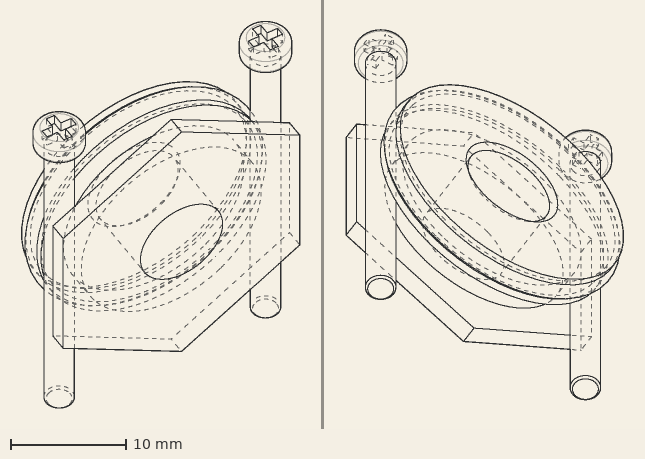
import cadquery as cq

total_length = 8.0
hex_thickness = 1.75
hex_across_flats = 24.0
flange_radius = 11.42
flange_length = 3.3
neck_radius = 9.13
hex_start = total_length - hex_thickness

bead_section_radius = 0.92
bead_outer_radius = 11.9
bead_center_x = flange_length / 2
bead_center_radius = bead_outer_radius - bead_section_radius

bore_radius = 4.17
bore_chamfer = 0.5

screw_length = 34.2
screw_top_z = 17.17
shank_radius = 1.35
tip_chamfer = 0.2
head_radius = 2.3
head_height = 2.22
head_top_fillet = 0.6
head_bottom_fillet = 0.35
recess_span = 2.95
recess_width = 0.82
recess_depth = 1.03
screw_x = (flange_length + hex_start) / 2
screw_y = neck_radius + shank_radius


def make_round_body():
    """Flange with its bead, and the neck, revolved about the X axis."""
    profile = (
        cq.Workplane("XY")
        .moveTo(0, 0)
        .lineTo(0, flange_radius)
        .lineTo(bead_center_x - bead_section_radius, flange_radius)
        .lineTo(bead_center_x - bead_section_radius, bead_center_radius)
        .threePointArc(
            (bead_center_x, bead_outer_radius),
            (bead_center_x + bead_section_radius, bead_center_radius),
        )
        .lineTo(bead_center_x + bead_section_radius, flange_radius)
        .lineTo(flange_length, flange_radius)
        .lineTo(flange_length, neck_radius)
        .lineTo(hex_start, neck_radius)
        .lineTo(hex_start, 0)
        .close()
    )
    return profile.revolve(360, (0, 0, 0), (1, 0, 0))


def make_hex_plate():
    """Hexagonal plate with two corners on the vertical center line."""
    return (
        cq.Workplane("YZ")
        .workplane(offset=hex_start)
        .polygon(6, hex_across_flats, circumscribed=True)
        .extrude(hex_thickness)
    )


def make_plug():
    """Round body and hexagonal plate, bored through."""
    bore = cq.Workplane("YZ").circle(bore_radius).extrude(total_length)
    mouth = cq.Solid.makeCone(
        bore_radius + bore_chamfer,
        bore_radius,
        bore_chamfer,
        cq.Vector(0, 0, 0),
        cq.Vector(1, 0, 0),
    )
    return make_round_body().union(make_hex_plate()).cut(bore).cut(mouth)


def make_screw(center_y):
    """Cross-recessed cylinder-head screw, head upwards."""
    head = (
        cq.Workplane("XY")
        .circle(head_radius)
        .extrude(-head_height)
        .faces(">Z").edges().fillet(head_top_fillet)
        .faces("<Z").edges().fillet(head_bottom_fillet)
    )
    shank = (
        cq.Workplane("XY")
        .workplane(offset=-screw_length)
        .circle(shank_radius)
        .extrude(screw_length - head_height)
        .faces("<Z").edges().chamfer(tip_chamfer)
    )
    recess = (
        cq.Workplane("XY")
        .rect(recess_span, recess_width)
        .extrude(-recess_depth)
        .union(cq.Workplane("XY").rect(recess_width, recess_span).extrude(-recess_depth))
    )
    screw = head.union(shank).cut(recess)
    return screw.translate((screw_x, center_y, screw_top_z))


plug = make_plug()
screws = [make_screw(side * screw_y) for side in (-1, 1)]

result = cq.Compound.makeCompound([plug.val(), *[screw.val() for screw in screws]])